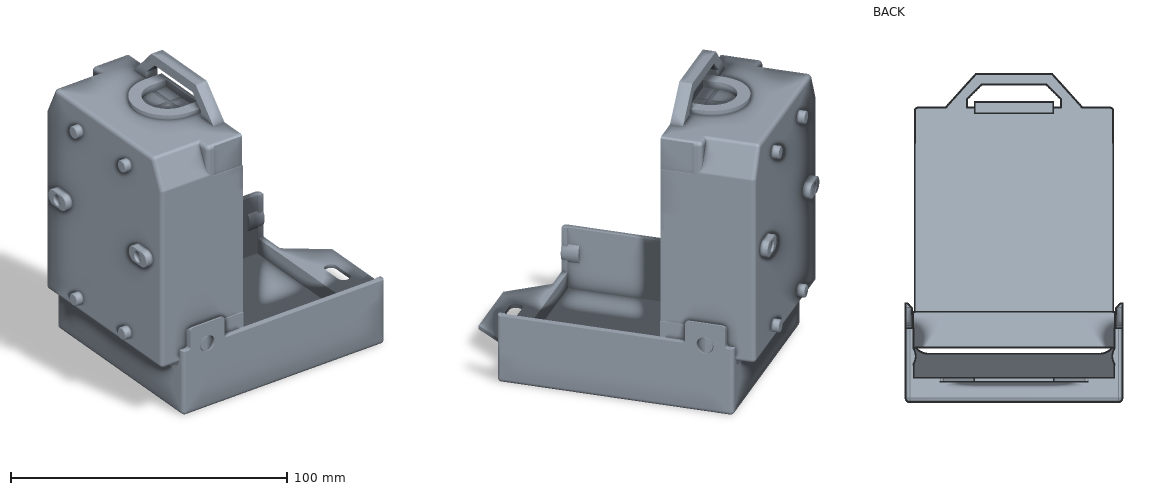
import cadquery as cq


housing_width = 72.0
housing_depth = 36.1
housing_bottom = 20.7
housing_top = 106.8
edge_radius = 1.5

slope_inset = 5.6
slope_height = 11.9
slope_rear_y = -15.8

snap_recess_depth = 0.4
snap_recess_length = 12.8
snap_recess_height = 12.8

handle_top = 118.9
handle_thickness = 5.0
handle_top_half = 13.8
handle_base_half = 24.7
window_half = 17.0
window_top_half = 11.8
handle_bar_height = 3.9
window_top = handle_top - handle_bar_height
window_corner_z = 109.7

grommet_radius = 14.3
grommet_center_y = -7.6
grommet_rear_y = 0.0
grommet_top = 108.8
grommet_bottom = 104.6
grommet_pocket_radius = 9.5
grommet_pocket_rear_y = -1.4
grommet_floor = 105.8
cross_center_y = -6.9
cross_slot_width = 1.7
cross_slot_depth = 0.4

hinge_y = -18.1
hinge_z = 27.1
hinge_bar_half = 36.5
hinge_bar_bottom = 19.7
hinge_bar_top = 32.7
hinge_boss_diameter = 9.5
hinge_pin_diameter = 6.0
hinge_hole_diameter = 6.4
hinge_ramp_height = 1.3

tray_width = 78.6
tray_wall = 2.4
tray_rear_y = 61.2
tray_front_y = -28.9
tray_height = 26.9
tray_inner_half = tray_width / 2 - tray_wall
rear_wall_height = 8.9
rear_opening_half = 36.4
notch_bottom = 17.6
notch_radius = 6.0
ear_width = 15.2
ear_top = 35.9
ear_radius = 1.4
ear_foot_radius = 1.1
ear_bevel = 1.8

bump_length = 6.7
bump_height = 7.1
bump_depth = 1.3
bump_z = 16.6

strap_end_y = 76.2
strap_thickness = 1.5
strap_end_half = 14.4
strap_base_half = 26.0
strap_fillet = 1.2
strap_slot_y = 68.0
strap_slot_length = 12.8
strap_slot_width = 5.0

stud_height = 2.9
screw_diameter = 4.9
screw_edge = 0.3
screw_x = 15.0
screw_z_low = 26.6
screw_z_high = 96.8
oblong_length = 11.2
oblong_width = 6.4
oblong_edge = 0.2
oblong_hole_diameter = 4.5
oblong_x = 25.0
oblong_z = 63.7


def block(x_range, y_range, z_range):
    """Box between the given limits on each axis."""
    size = [limits[1] - limits[0] for limits in (x_range, y_range, z_range)]
    corner = (x_range[0], y_range[0], z_range[0])
    return cq.Workplane("XY").box(*size, centered=False).translate(corner)


def front_profile(y):
    """Sketch plane facing -Y at the given Y; extruding goes toward -Y."""
    return cq.Workplane("XZ", origin=(0, y, 0))


def rod_along_x(diameter, x_start, length):
    """Cylinder on the hinge axis, running in +X from x_start."""
    plane = cq.Workplane("YZ", origin=(x_start, hinge_y, hinge_z))
    return plane.circle(diameter / 2).extrude(length)


def mirrored(half):
    """The given shape and its mirror image across X = 0, as one workplane."""
    return half.union(half.mirror("YZ"))


def d_prism(radius, rear_y, z_low, z_high):
    """Upright D-shaped prism: round toward -Y, flat at rear_y."""
    return (
        cq.Workplane("XY", origin=(0, 0, z_low))
        .moveTo(-radius, rear_y)
        .lineTo(-radius, grommet_center_y)
        .threePointArc((0, grommet_center_y - radius), (radius, grommet_center_y))
        .lineTo(radius, rear_y)
        .close()
        .extrude(z_high - z_low)
    )


def grommet_blank():
    """Plain plug; also the shape of the seat it fills in the housing."""
    return d_prism(grommet_radius, grommet_rear_y, grommet_bottom, grommet_top)


def make_handle():
    """Trapezoidal loop flush with the rear face of the housing."""
    outer = [
        (-handle_base_half, housing_top),
        (-handle_top_half, handle_top),
        (handle_top_half, handle_top),
        (handle_base_half, housing_top),
    ]
    window = [
        (-window_half, housing_top),
        (-window_half, window_corner_z),
        (-window_top_half, window_top),
        (window_top_half, window_top),
        (window_half, window_corner_z),
        (window_half, housing_top),
    ]
    frame = front_profile(0).polyline(outer).close().extrude(handle_thickness)
    return frame.cut(front_profile(0).polyline(window).close().extrude(handle_thickness))


def hinge_bar_blank():
    """Plain bar; also the shape of the seat it fills in the housing."""
    return block((-hinge_bar_half, hinge_bar_half), (hinge_y, 0), (hinge_bar_bottom, hinge_bar_top))


def make_housing():
    half = housing_width / 2
    body = block((-half, half), (-housing_depth, 0), (housing_bottom, housing_top))

    slope = [
        (half, housing_top),
        (half - slope_inset, housing_top),
        (half, housing_top - slope_height),
    ]
    corner_cut = front_profile(slope_rear_y).polyline(slope).close().extrude(housing_depth)
    body = body.cut(mirrored(corner_cut))

    body = body.edges("|X or |Y or |Z or <Y").edges("not >Y").fillet(edge_radius)

    recess = block(
        (half - snap_recess_depth, half),
        (-snap_recess_length, 0),
        (housing_top - snap_recess_height, housing_top),
    )
    body = body.cut(mirrored(recess))
    return body.union(make_handle()).cut(grommet_blank()).cut(hinge_bar_blank())


def make_grommet():
    """D-shaped plug with a pocket in its top and a shallow cross scored in the pocket floor."""
    pocket = d_prism(grommet_pocket_radius, grommet_pocket_rear_y, grommet_floor, grommet_top)
    reach = 2 * grommet_radius
    slot_z = (grommet_floor - cross_slot_depth, grommet_floor)
    slot_half = cross_slot_width / 2
    along_x = block((-reach, reach), (cross_center_y - slot_half, cross_center_y + slot_half), slot_z)
    along_y = block((-slot_half, slot_half), (cross_center_y - reach, cross_center_y + reach), slot_z)
    lowered_pocket = pocket.translate((0, 0, -cross_slot_depth))
    cross = along_x.union(along_y).intersect(lowered_pocket)
    return grommet_blank().cut(pocket).cut(cross)


def make_hinge_bar():
    """Bar across the housing with a shoulder and a ramped snap pin at each end."""
    side = housing_width / 2
    shoulder = rod_along_x(hinge_boss_diameter, side, tray_inner_half - side)
    pin = rod_along_x(hinge_pin_diameter, side, tray_width / 2 - side)
    ramp = (
        cq.Workplane("XY", origin=(0, hinge_y, hinge_z - hinge_pin_diameter / 2))
        .moveTo(tray_width / 2, 0)
        .lineTo(tray_width / 2, hinge_pin_diameter / 2)
        .lineTo(tray_width / 2 - hinge_ramp_height, hinge_pin_diameter / 2)
        .close()
        .extrude(hinge_pin_diameter)
    )
    return hinge_bar_blank().union(mirrored(shoulder.union(pin.cut(ramp))))


def make_ear():
    """Hinge ear on the +X wall, with concave rounds at its foot and a bevel on its inner top edge."""
    half = ear_width / 2
    ear = (
        cq.Workplane("YZ", origin=(tray_inner_half, hinge_y, 0))
        .moveTo(-half - ear_foot_radius, tray_height)
        .radiusArc((-half, tray_height + ear_foot_radius), -ear_foot_radius)
        .lineTo(-half, ear_top - ear_radius)
        .radiusArc((-half + ear_radius, ear_top), ear_radius)
        .lineTo(half - ear_radius, ear_top)
        .radiusArc((half, ear_top - ear_radius), ear_radius)
        .lineTo(half, tray_height + ear_foot_radius)
        .radiusArc((half + ear_foot_radius, tray_height), -ear_foot_radius)
        .lineTo(half + ear_foot_radius, tray_height - tray_wall)
        .lineTo(-half - ear_foot_radius, tray_height - tray_wall)
        .close()
        .extrude(tray_wall)
    )
    bevel = [
        (tray_inner_half, ear_top),
        (tray_inner_half + ear_bevel, ear_top),
        (tray_inner_half, ear_top - ear_bevel),
    ]
    return ear.cut(front_profile(0).polyline(bevel).close().extrude(-2 * hinge_y))


def make_strap():
    """Tapered tongue with a slot, joined to the top of the rear wall."""
    strap = (
        cq.Workplane("XY", origin=(0, 0, rear_wall_height - strap_thickness))
        .polyline(
            [
                (-tray_inner_half, tray_rear_y - tray_wall),
                (-tray_inner_half, tray_rear_y),
                (-strap_base_half, tray_rear_y),
                (-strap_end_half, strap_end_y),
                (strap_end_half, strap_end_y),
                (strap_base_half, tray_rear_y),
                (tray_inner_half, tray_rear_y),
                (tray_inner_half, tray_rear_y - tray_wall),
            ]
        )
        .close()
        .extrude(strap_thickness)
    )
    root_corners = cq.selectors.BoxSelector(
        (-strap_base_half - strap_fillet, tray_rear_y - strap_fillet, 0),
        (strap_base_half + strap_fillet, tray_rear_y + strap_fillet, tray_height),
    )
    strap = strap.edges("|Z").edges(root_corners).fillet(strap_fillet)
    slot = (
        cq.Workplane("XY")
        .center(0, strap_slot_y)
        .slot2D(strap_slot_length, strap_slot_width)
        .extrude(tray_height)
    )
    return strap.cut(slot)


def make_bump():
    """Ridge with an arched section on the inner face of the +X wall, at its rear end."""
    return (
        front_profile(tray_rear_y)
        .moveTo(tray_inner_half, bump_z - bump_height / 2)
        .threePointArc(
            (tray_inner_half - bump_depth, bump_z),
            (tray_inner_half, bump_z + bump_height / 2),
        )
        .close()
        .extrude(bump_length)
    )


def make_tray():
    half = tray_width / 2
    tray = block((-half, half), (tray_front_y, tray_rear_y), (0, tray_height))
    tray = tray.edges("|Z").fillet(edge_radius).faces("<Z").edges().fillet(edge_radius)
    tray = tray.cut(
        block(
            (-tray_inner_half, tray_inner_half),
            (tray_front_y + tray_wall, tray_rear_y - tray_wall),
            (tray_wall, tray_height),
        )
    )

    front_notch = block(
        (-tray_inner_half, tray_inner_half), (tray_front_y, tray_front_y + tray_wall),
        (notch_bottom, tray_height + notch_radius),
    )
    tray = tray.cut(front_notch.edges("|Y").edges("<Z").fillet(notch_radius))
    rear_opening = block(
        (-rear_opening_half, rear_opening_half), (tray_rear_y - tray_wall, tray_rear_y),
        (rear_wall_height, tray_height),
    )
    tray = tray.cut(rear_opening)

    tray = tray.union(mirrored(make_ear())).union(mirrored(make_bump())).union(make_strap())
    return tray.cut(rod_along_x(hinge_hole_diameter, -half, tray_width))


def make_screw_head(x, z):
    head = front_profile(-housing_depth).center(x, z).circle(screw_diameter / 2).extrude(stud_height)
    return head.faces("<Y").edges().chamfer(screw_edge)


def make_oblong_boss(x, z):
    plane = front_profile(-housing_depth).center(x, z)
    boss = plane.slot2D(oblong_length, oblong_width).extrude(stud_height)
    boss = boss.faces("<Y").edges().chamfer(oblong_edge)
    return boss.cut(plane.circle(oblong_hole_diameter / 2).extrude(stud_height))


housing = make_housing()
grommet = make_grommet()
hinge_bar = make_hinge_bar()
tray = make_tray()
screw_heads = [make_screw_head(x, z).val() for x in (-screw_x, screw_x) for z in (screw_z_low, screw_z_high)]
oblong_bosses = [make_oblong_boss(x, oblong_z).val() for x in (-oblong_x, oblong_x)]

result = cq.Compound.makeCompound(
    [housing.val(), grommet.val(), hinge_bar.val(), tray.val(), *screw_heads, *oblong_bosses]
)